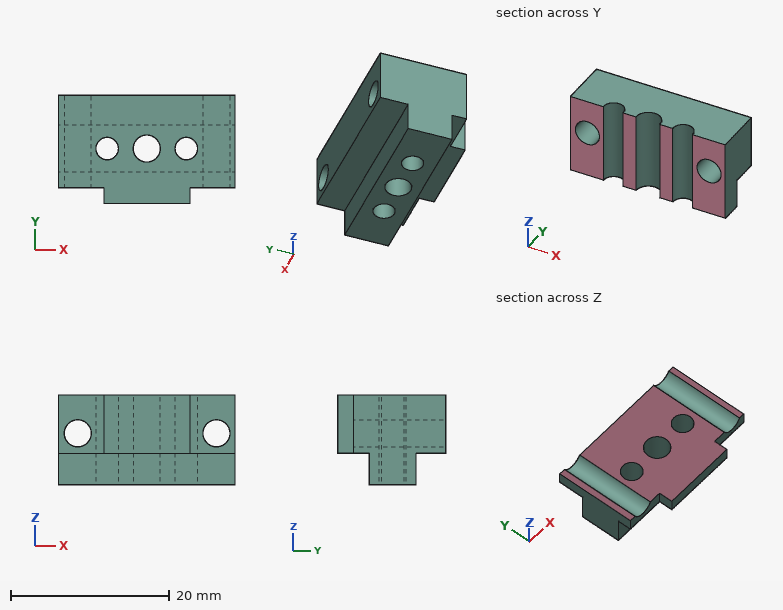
import cadquery as cq

width = 22.3
depth = 13.7
height = 11.35

foot_height = 4.0
foot_depth = 5.93
foot_front_setback = 4.0

pad_width = 10.88
pad_depth = 2.0
pad_center_x = 0.02

side_hole_diameter = 3.4
side_hole_spacing = 17.5
side_hole_center_x = 0.05
side_hole_z = 6.51

center_hole_diameter = 3.4
outer_hole_diameter = 2.8
vertical_hole_pitch = 5.0

body_height = height - foot_height
body_depth = depth - pad_depth
foot_center_y = foot_front_setback + foot_depth / 2


def box(size_x, size_y, size_z, center_x, front_y, bottom_z):
    """Box placed by its middle in X, its front face and its underside."""
    return cq.Workplane("XY").box(size_x, size_y, size_z, centered=(True, False, False)).translate(
        (center_x, front_y, bottom_z)
    )


def vertical_hole(diameter, x):
    """Cutter through the full height, on the foot's center line."""
    return cq.Workplane("XY").center(x, foot_center_y).circle(diameter / 2).extrude(height)


def side_hole(x):
    """Cutter through the full depth, running toward +Y."""
    return cq.Workplane("XZ").center(x, side_hole_z).circle(side_hole_diameter / 2).extrude(-depth)


body = box(width, body_depth, body_height, 0, pad_depth, foot_height)
foot = box(width, foot_depth, foot_height, 0, foot_front_setback, 0)
pad = box(pad_width, pad_depth, body_height, pad_center_x, 0, foot_height)
result = body.union(foot).union(pad)

result = result.cut(vertical_hole(center_hole_diameter, 0))
for side in (-1, 1):
    result = result.cut(vertical_hole(outer_hole_diameter, side * vertical_hole_pitch))
    result = result.cut(side_hole(side_hole_center_x + side * side_hole_spacing / 2))